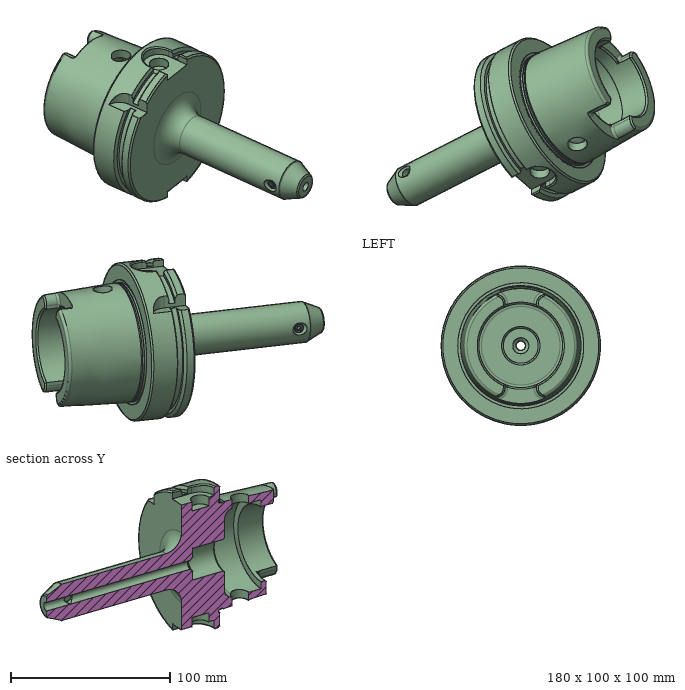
import cadquery as cq
import math

TOTAL_LENGTH = 180.0

TAPER_REAR_RADIUS = 35.5
TAPER_FRONT_RADIUS = 37.8
TAPER_END = 47.2
REAR_ROUND = 1.8
RELIEF_RADIUS = 37.3
RELIEF_START = 48.2
RELIEF_END = 49.3
CROSS_HOLE_X = 34.7
CROSS_HOLE_RADIUS = 6.1

RECESS_RADIUS = 39.6
RECESS_DEPTH = 0.7

FLANGE_START = 50.0
FLANGE_END = 79.0
FLANGE_RADIUS = 50.0
FLANGE_CHAMFER = 1.0
GROOVE_START = 66.8
GROOVE_END = 73.3
GROOVE_FLOOR_START = 67.9
GROOVE_FLOOR_END = 71.8
GROOVE_RADIUS = 45.9
GROOVE_LIP_RADIUS = 47.9

SHANK_RADIUS = 13.0
SHANK_FILLET = 11.5
NOSE_START = 168.7
NOSE_EDGE = 0.5
NOSE_EDGE_RADIUS = 12.6
NOSE_TIP_RADIUS = 8.1
NOSE_TIP_CHAMFER = 0.9

BORE_RADIUS = 26.3
BORE_LEAD_LENGTH = 19.5
CHAMBER_RADIUS = 31.1
CHAMBER_FILLET = 6.5
BORE_DEPTH = 46.5
MOUTH_CHAMFER = 1.0
TUBE_SEAT_RADIUS = 11.0
TUBE_SEAT_DEPTH = 70.2
TUBE_SEAT_CHAMFER = 1.0
CHANNEL_RADIUS = 2.9
CHANNEL_CHAMFER = 2.2

NOTCH_HALF_WIDTH = 9.9
NOTCH_SHOULDER_HEIGHT = 32.2
NOTCH_LIP_RADIUS = 5.5
NOTCH_FLOOR_FILLET = 1.6
UPPER_NOTCH_DEPTH = 9.7
LOWER_NOTCH_DEPTH = 15.3

SLOT_RADIUS = 10.0
SLOT_CENTER_X = 64.6
KEYWAY_FLOOR_HEIGHT = 44.0
KEYWAY_CHAMFER = 0.9
KEYWAY_HOLE_RADIUS = 6.1
KEYWAY_HOLE_DEPTH = 6.3
ORIENTATION_WALL_Y = -31.3
ORIENTATION_FLOOR_HEIGHT = 31.1

SCREW_X = 161.8
SCREW_RADIUS = 2.9
SCREW_LENGTH = 7.2
SCREW_CHAMFER = 0.4
SINK_DEPTH = 1.8
SOCKET_ACROSS_FLATS = 2.9
SOCKET_DEPTH = 1.8


def turned_blank():
    """Outer shape without the groove: taper, relief, recess, flange, shank and nose."""
    fillet_end = FLANGE_END + SHANK_FILLET
    arc_offset = SHANK_FILLET * (1 - math.sqrt(0.5))
    outline = (
        cq.Workplane("XY")
        .moveTo(0, 0)
        .lineTo(0, TAPER_REAR_RADIUS)
        .lineTo(TAPER_END, TAPER_FRONT_RADIUS)
        .lineTo(RELIEF_START, RELIEF_RADIUS)
        .lineTo(RELIEF_END, RELIEF_RADIUS)
        .lineTo(RELIEF_END, TAPER_FRONT_RADIUS)
        .lineTo(FLANGE_START + RECESS_DEPTH, TAPER_FRONT_RADIUS)
        .lineTo(FLANGE_START + RECESS_DEPTH, RECESS_RADIUS)
        .lineTo(FLANGE_START, RECESS_RADIUS)
        .lineTo(FLANGE_START, FLANGE_RADIUS - FLANGE_CHAMFER)
        .lineTo(FLANGE_START + FLANGE_CHAMFER, FLANGE_RADIUS)
        .lineTo(FLANGE_END - FLANGE_CHAMFER, FLANGE_RADIUS)
        .lineTo(FLANGE_END, FLANGE_RADIUS - FLANGE_CHAMFER)
        .lineTo(FLANGE_END, SHANK_RADIUS + SHANK_FILLET)
        .threePointArc((FLANGE_END + arc_offset, SHANK_RADIUS + arc_offset), (fillet_end, SHANK_RADIUS))
        .lineTo(NOSE_START, SHANK_RADIUS)
        .lineTo(NOSE_START + NOSE_EDGE, NOSE_EDGE_RADIUS)
        .lineTo(TOTAL_LENGTH - NOSE_TIP_CHAMFER, NOSE_TIP_RADIUS)
        .lineTo(TOTAL_LENGTH, NOSE_TIP_RADIUS - NOSE_TIP_CHAMFER)
        .lineTo(TOTAL_LENGTH, 0)
        .close()
    )
    blank = outline.revolve(360, (0, 0, 0), (1, 0, 0))
    return blank.faces("<X").edges().fillet(REAR_ROUND)


def axial_bore():
    """Stepped bore running from the rear mouth through to the nose tip."""
    arc_offset = CHAMBER_FILLET * (1 - math.sqrt(0.5))
    return (
        cq.Workplane("XY")
        .moveTo(0, 0)
        .lineTo(0, BORE_RADIUS + MOUTH_CHAMFER)
        .lineTo(MOUTH_CHAMFER, BORE_RADIUS)
        .lineTo(BORE_LEAD_LENGTH, BORE_RADIUS)
        .lineTo(BORE_LEAD_LENGTH, CHAMBER_RADIUS)
        .lineTo(BORE_DEPTH - CHAMBER_FILLET, CHAMBER_RADIUS)
        .threePointArc(
            (BORE_DEPTH - arc_offset, CHAMBER_RADIUS - arc_offset),
            (BORE_DEPTH, CHAMBER_RADIUS - CHAMBER_FILLET),
        )
        .lineTo(BORE_DEPTH, TUBE_SEAT_RADIUS + TUBE_SEAT_CHAMFER)
        .lineTo(BORE_DEPTH + TUBE_SEAT_CHAMFER, TUBE_SEAT_RADIUS)
        .lineTo(TUBE_SEAT_DEPTH, TUBE_SEAT_RADIUS)
        .lineTo(TUBE_SEAT_DEPTH, CHANNEL_RADIUS + CHANNEL_CHAMFER)
        .lineTo(TUBE_SEAT_DEPTH + CHANNEL_CHAMFER, CHANNEL_RADIUS)
        .lineTo(TOTAL_LENGTH, CHANNEL_RADIUS)
        .lineTo(TOTAL_LENGTH, 0)
        .close()
        .revolve(360, (0, 0, 0), (1, 0, 0))
    )


def gripper_groove():
    """Ring groove around the flange with sloped lips."""
    return (
        cq.Workplane("XY")
        .moveTo(GROOVE_START, FLANGE_RADIUS)
        .lineTo(GROOVE_FLOOR_START, GROOVE_LIP_RADIUS)
        .lineTo(GROOVE_FLOOR_START, GROOVE_RADIUS)
        .lineTo(GROOVE_FLOOR_END, GROOVE_RADIUS)
        .lineTo(GROOVE_FLOOR_END, GROOVE_LIP_RADIUS)
        .lineTo(GROOVE_END, FLANGE_RADIUS)
        .close()
        .revolve(360, (0, 0, 0), (1, 0, 0))
    )


def notch_outline(plane, growth):
    """Notch cross-section with rounded lips, its whole boundary moved outward by growth."""
    half_width = NOTCH_HALF_WIDTH + growth
    shoulder_z = NOTCH_SHOULDER_HEIGHT - growth
    lip_radius = NOTCH_LIP_RADIUS - growth
    shoulder_y = half_width + lip_radius
    arc_offset = lip_radius * (1 - math.sqrt(0.5))
    arc_middle_y = half_width + arc_offset
    arc_middle_z = shoulder_z - arc_offset
    return (
        plane.moveTo(-half_width, 0)
        .lineTo(half_width, 0)
        .lineTo(half_width, shoulder_z - lip_radius)
        .threePointArc((arc_middle_y, arc_middle_z), (shoulder_y, shoulder_z))
        .lineTo(shoulder_y, TAPER_FRONT_RADIUS)
        .lineTo(-shoulder_y, TAPER_FRONT_RADIUS)
        .lineTo(-shoulder_y, shoulder_z)
        .threePointArc((-arc_middle_y, arc_middle_z), (-half_width, shoulder_z - lip_radius))
        .close()
    )


def drive_notch(depth):
    """Cutter for one notch in the upper rear rim: filleted floor corners, chamfered rear and bore edges."""
    margin = 0.2
    notch = notch_outline(cq.Workplane("YZ"), 0).extrude(depth)
    floor_sides = cq.selectors.BoxSelector(
        (depth - margin, -TAPER_FRONT_RADIUS, margin),
        (depth + margin, TAPER_FRONT_RADIUS, NOTCH_SHOULDER_HEIGHT + margin),
    )
    notch = notch.edges(floor_sides).fillet(NOTCH_FLOOR_FILLET)
    rear_flare = notch_outline(cq.Workplane("YZ"), MOUTH_CHAMFER)
    rear_flare = notch_outline(rear_flare.workplane(offset=MOUTH_CHAMFER), 0).loft(ruled=True)
    floor_cone = cq.Workplane("YZ", origin=(depth, 0, 0)).circle(BORE_RADIUS + MOUTH_CHAMFER)
    floor_cone = floor_cone.workplane(offset=MOUTH_CHAMFER).circle(BORE_RADIUS).loft()
    span = cq.Workplane("XY", origin=(depth, 0, 0)).rect(2 * depth, 2 * NOTCH_HALF_WIDTH).extrude(FLANGE_RADIUS)
    return notch.union(rear_flare).union(floor_cone.intersect(span))


def flange_slot(center_y, floor_height):
    """Cutter for a round-ended slot that runs out of the flange toward the nose."""
    return (
        cq.Workplane("XY", origin=(0, center_y, floor_height))
        .moveTo(FLANGE_END, SLOT_RADIUS)
        .lineTo(SLOT_CENTER_X, SLOT_RADIUS)
        .threePointArc((SLOT_CENTER_X - SLOT_RADIUS, 0), (SLOT_CENTER_X, -SLOT_RADIUS))
        .lineTo(FLANGE_END, -SLOT_RADIUS)
        .close()
        .extrude(FLANGE_RADIUS - floor_height)
    )


def upside_down(shape):
    """Half-turn about the part's axis, from the top side to the bottom."""
    return shape.rotate((0, 0, 0), (1, 0, 0), 180)


def keyway_rim(side):
    """Selects the edges where a keyway breaks through the flange rim; side is 1 on top, -1 below."""
    margin = 0.2
    reach = SLOT_RADIUS + margin
    above_floor = (KEYWAY_FLOOR_HEIGHT + FLANGE_RADIUS) / 2
    near = (SLOT_CENTER_X - reach, -reach, side * above_floor)
    far = (FLANGE_END - FLANGE_CHAMFER, reach, side * (FLANGE_RADIUS + margin))
    return cq.selectors.BoxSelector(near, far)


def screw_hole():
    """Cutter for the cross hole in the shank, with a 45 degree countersink at both ends."""
    sink_radius = SCREW_RADIUS + SINK_DEPTH
    return (
        cq.Workplane("XY")
        .moveTo(SCREW_X, -SHANK_RADIUS)
        .lineTo(SCREW_X + sink_radius, -SHANK_RADIUS)
        .lineTo(SCREW_X + SCREW_RADIUS, SINK_DEPTH - SHANK_RADIUS)
        .lineTo(SCREW_X + SCREW_RADIUS, SHANK_RADIUS - SINK_DEPTH)
        .lineTo(SCREW_X + sink_radius, SHANK_RADIUS)
        .lineTo(SCREW_X, SHANK_RADIUS)
        .close()
        .revolve(360, (SCREW_X, 0, 0), (SCREW_X, 1, 0))
    )


def make_holder():
    holder = turned_blank()

    keyway = flange_slot(0, KEYWAY_FLOOR_HEIGHT)
    holder = holder.cut(keyway).cut(upside_down(keyway))
    for side in (1, -1):
        holder = holder.edges(keyway_rim(side)).chamfer(KEYWAY_CHAMFER)
    holder = holder.cut(gripper_groove())

    floor = cq.Workplane("XY", origin=(SLOT_CENTER_X, 0, KEYWAY_FLOOR_HEIGHT))
    keyway_hole = floor.circle(KEYWAY_HOLE_RADIUS).extrude(-KEYWAY_HOLE_DEPTH)
    holder = holder.cut(keyway_hole).cut(upside_down(keyway_hole))
    holder = holder.cut(flange_slot(ORIENTATION_WALL_Y - SLOT_RADIUS, ORIENTATION_FLOOR_HEIGHT))

    holder = holder.cut(axial_bore())
    holder = holder.cut(drive_notch(UPPER_NOTCH_DEPTH))
    holder = holder.cut(upside_down(drive_notch(LOWER_NOTCH_DEPTH)))

    cross_hole = cq.Workplane("XY", origin=(CROSS_HOLE_X, 0, 0)).circle(CROSS_HOLE_RADIUS)
    holder = holder.cut(cross_hole.extrude(TAPER_FRONT_RADIUS, both=True))
    return holder.cut(screw_hole())


def make_screw():
    head_y = SINK_DEPTH - SHANK_RADIUS
    across_corners = SOCKET_ACROSS_FLATS / math.cos(math.pi / 6)
    screw = cq.Workplane("XZ", origin=(SCREW_X, head_y, 0)).circle(SCREW_RADIUS).extrude(-SCREW_LENGTH)
    screw = screw.faces("<Y").chamfer(SCREW_CHAMFER)
    socket = cq.Workplane("XZ", origin=(SCREW_X, head_y, 0)).polygon(6, across_corners)
    return screw.cut(socket.extrude(-SOCKET_DEPTH))


holder = make_holder()
screw = make_screw()
result = cq.Compound.makeCompound([holder.val(), screw.val()])